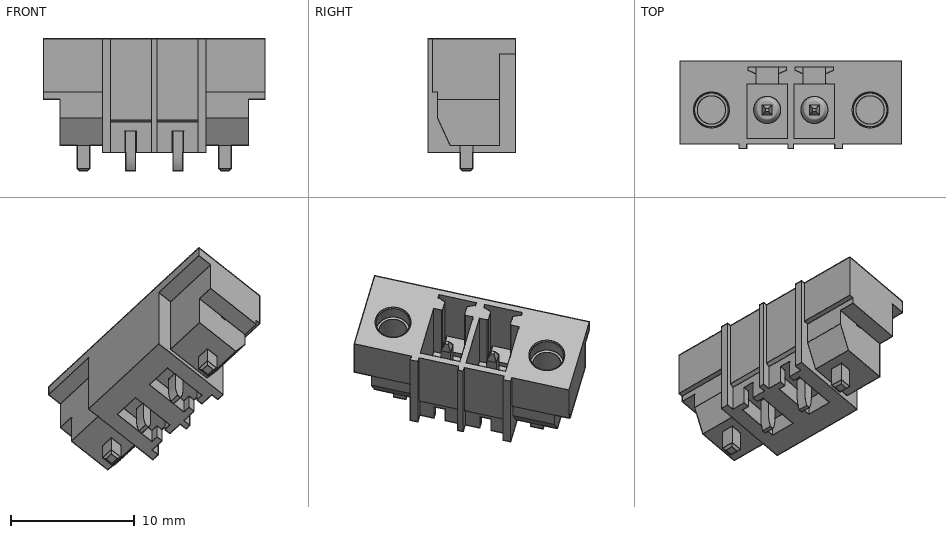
import cadquery as cq
import math


LENGTH = 17.91
HEIGHT = 9.22
FRONT_Y = -2.75
BACK_Y = 3.95
CENTRE_HALF = 4.19

WING_HALF = 7.63
WING_FRONT_Y = -2.35
WING_BACK_Y = 2.67
WING_BOTTOM_Z = 0.59
WING_SLOPE_TOP_Z = 2.81
WING_SLOPE_BOTTOM_Y = -1.33
END_BOTTOM_Z = 4.32
FRONT_STEP_Z = 4.9
BACK_SHELF_Z = 7.99

PANEL_Y = -2.45
PANEL_TOP_Z = 2.47
LEDGE_HEIGHT = 0.18

RIB_FRONT_Y = -3.12
CENTRE_RIB_HALF = 0.23
END_RIB_INNER = 3.55

CONTACT_PITCH = 3.81
CHAMBER_WIDTH = 3.3
CHAMBER_FRONT_Y = -2.3
CHAMBER_BACK_Y = 2.1
FLOOR_Z = 2.65
NECK_HALF = 0.91
NECK_FLOOR_Z = FLOOR_Z + 0.54
NECK_CHAMFER = 0.09
TAIL_HALF = 1.55
TAIL_BACK_Y = 3.47
TAIL_TIP_Y = 3.2
TAIL_NECK_Y = 2.92

COLLAR_BASE_RADIUS = 1.1
COLLAR_SHOULDER_RADIUS = 0.88
COLLAR_TOP_RADIUS = 0.72
COLLAR_CONE_HEIGHT = 0.35
COLLAR_ROUND_HEIGHT = 0.1

POCKET_HALF_WIDTH = 1.07
POCKET_HALF_DEPTH = 1.9
POCKET_HEIGHT = 1.74
SLOT_WIDTH = 0.93

SCREW_X = 6.41
SCREW_RADIUS = 1.36
SCREW_CHAMFER = 0.09
SCREW_DEPTH = 1.36
SCREW_CORE_RADIUS = 1.15
SCREW_CORE_BOTTOM_Z = END_BOTTOM_Z

CONTACT_WIDTH = 0.8
CONTACT_TIP_WIDTH = 0.27
CONTACT_TOP_Z = 7.88
CONTACT_TAPER = 0.75
TAIL_END_Z = -1.47
TAIL_ARC_START_Z = -0.38
TAIL_ARC_ANGLE = math.radians(25)

POST_X = 1.5 * CONTACT_PITCH
POST_WIDTH = 1.04
POST_CHAMFER = 0.2

CONTACT_XS = [-CONTACT_PITCH / 2, CONTACT_PITCH / 2]


def block(x0, x1, y0, y1, z0, z1):
    """Box between the given limits."""
    return cq.Workplane("XY").box(x1 - x0, y1 - y0, z1 - z0, centered=False).translate((x0, y0, z0))


def side_profile(points, half_length):
    """Profile in Y and Z, extruded along X to both sides of the middle."""
    return cq.Workplane("YZ").polyline(points).close().extrude(half_length, both=True)


def centre_block():
    return side_profile(
        [
            (BACK_Y, 0),
            (PANEL_Y, 0),
            (PANEL_Y, PANEL_TOP_Z),
            (FRONT_Y, PANEL_TOP_Z + LEDGE_HEIGHT),
            (FRONT_Y, HEIGHT),
            (BACK_Y, HEIGHT),
        ],
        CENTRE_HALF,
    )


def overhanging_ends():
    return side_profile(
        [
            (WING_FRONT_Y, END_BOTTOM_Z),
            (WING_FRONT_Y, FRONT_STEP_Z),
            (FRONT_Y, FRONT_STEP_Z),
            (FRONT_Y, HEIGHT),
            (BACK_Y, HEIGHT),
            (BACK_Y, BACK_SHELF_Z),
            (WING_BACK_Y, BACK_SHELF_Z),
            (WING_BACK_Y, END_BOTTOM_Z),
        ],
        LENGTH / 2,
    )


def wings():
    return side_profile(
        [
            (WING_BACK_Y, WING_BOTTOM_Z),
            (WING_SLOPE_BOTTOM_Y, WING_BOTTOM_Z),
            (WING_FRONT_Y, WING_SLOPE_TOP_Z),
            (WING_FRONT_Y, END_BOTTOM_Z),
            (WING_BACK_Y, END_BOTTOM_Z),
        ],
        WING_HALF,
    )


def front_ribs():
    spans = [
        (-CENTRE_HALF, -END_RIB_INNER),
        (-CENTRE_RIB_HALF, CENTRE_RIB_HALF),
        (END_RIB_INNER, CENTRE_HALF),
    ]
    ribs = cq.Workplane("XY")
    for x0, x1 in spans:
        ribs = ribs.union(block(x0, x1, RIB_FRONT_Y, PANEL_Y, 0, HEIGHT))
    return ribs


def chamber(x):
    """Plug chamber with a dovetail groove opening into its back wall."""
    half = CHAMBER_WIDTH / 2
    right_side = [
        (half, CHAMBER_FRONT_Y),
        (half, CHAMBER_BACK_Y),
        (NECK_HALF + NECK_CHAMFER, CHAMBER_BACK_Y),
        (NECK_HALF, CHAMBER_BACK_Y + NECK_CHAMFER),
        (NECK_HALF, TAIL_NECK_Y),
        (TAIL_HALF, TAIL_TIP_Y),
        (TAIL_HALF, TAIL_BACK_Y),
    ]
    left_side = [(-px, py) for px, py in reversed(right_side)]
    outline = cq.Workplane("XY").polyline(right_side + left_side).close()
    space = outline.extrude(HEIGHT - FLOOR_Z).translate((0, 0, FLOOR_Z))
    neck_step = block(-NECK_HALF, NECK_HALF, CHAMBER_BACK_Y, TAIL_BACK_Y, FLOOR_Z, NECK_FLOOR_Z)
    return space.cut(neck_step).translate((x, 0, 0))


def collar(x):
    """Steep cone with a rounded top edge, standing on the chamber floor."""
    cone_top_z = FLOOR_Z + COLLAR_CONE_HEIGHT
    top_z = cone_top_z + COLLAR_ROUND_HEIGHT
    profile = (
        cq.Workplane("XZ")
        .moveTo(0, FLOOR_Z)
        .lineTo(COLLAR_BASE_RADIUS, FLOOR_Z)
        .lineTo(COLLAR_SHOULDER_RADIUS, cone_top_z)
        .spline(
            [(COLLAR_TOP_RADIUS, top_z)],
            tangents=[
                (COLLAR_SHOULDER_RADIUS - COLLAR_BASE_RADIUS, COLLAR_CONE_HEIGHT),
                (-1, 0),
            ],
            includeCurrent=True,
        )
        .lineTo(0, top_z)
        .close()
    )
    return profile.revolve(360, (0, 0, 0), (0, 1, 0)).translate((x, 0, 0))


def solder_pocket(x):
    """Pocket open at the bottom, with a slot through the front panel."""
    pocket = block(
        x - POCKET_HALF_WIDTH,
        x + POCKET_HALF_WIDTH,
        -POCKET_HALF_DEPTH,
        POCKET_HALF_DEPTH,
        0,
        POCKET_HEIGHT,
    )
    slot = block(x - SLOT_WIDTH / 2, x + SLOT_WIDTH / 2, PANEL_Y, 0, 0, POCKET_HEIGHT)
    return pocket.union(slot)


def contact_hole(x):
    half = CONTACT_WIDTH / 2
    return block(x - half, x + half, -half, half, 0, HEIGHT)


def screw_hole(x):
    """Stepped blind hole with a chamfered mouth."""
    step_z = HEIGHT - SCREW_DEPTH
    profile = (
        cq.Workplane("XZ")
        .polyline(
            [
                (0, SCREW_CORE_BOTTOM_Z),
                (SCREW_CORE_RADIUS, SCREW_CORE_BOTTOM_Z),
                (SCREW_CORE_RADIUS, step_z),
                (SCREW_RADIUS, step_z),
                (SCREW_RADIUS, HEIGHT - SCREW_CHAMFER),
                (SCREW_RADIUS + SCREW_CHAMFER, HEIGHT),
                (0, HEIGHT),
            ]
        )
        .close()
    )
    return profile.revolve(360, (0, 0, 0), (0, 1, 0)).translate((x, 0, 0))


def make_housing():
    body = centre_block().union(overhanging_ends()).union(wings()).union(front_ribs())
    for x in CONTACT_XS:
        body = body.cut(chamber(x))
        body = body.union(collar(x))
        body = body.cut(solder_pocket(x))
        body = body.cut(contact_hole(x))
    for x in (-SCREW_X, SCREW_X):
        body = body.cut(screw_hole(x))
    return body


def make_contact(x):
    """Square pin with a tapered top and a tail rounded towards its end at front and back."""
    half = CONTACT_WIDTH / 2
    taper_z = CONTACT_TOP_Z - CONTACT_TAPER
    arc_radius = (TAIL_ARC_START_Z - TAIL_END_Z) / math.sin(TAIL_ARC_ANGLE)
    end_half = half - arc_radius * (1 - math.cos(TAIL_ARC_ANGLE))
    middle_half = half - arc_radius * (1 - math.cos(TAIL_ARC_ANGLE / 2))
    middle_z = TAIL_ARC_START_Z - arc_radius * math.sin(TAIL_ARC_ANGLE / 2)
    shaft = (
        cq.Workplane("YZ")
        .moveTo(-half, taper_z)
        .lineTo(-half, TAIL_ARC_START_Z)
        .threePointArc((-middle_half, middle_z), (-end_half, TAIL_END_Z))
        .lineTo(end_half, TAIL_END_Z)
        .threePointArc((middle_half, middle_z), (half, TAIL_ARC_START_Z))
        .lineTo(half, taper_z)
        .close()
        .extrude(half, both=True)
    )
    tip = (
        cq.Workplane("XY")
        .workplane(offset=taper_z)
        .rect(CONTACT_WIDTH, CONTACT_WIDTH)
        .workplane(offset=CONTACT_TAPER)
        .rect(CONTACT_TIP_WIDTH, CONTACT_TIP_WIDTH)
        .loft(ruled=True)
    )
    return shaft.union(tip).translate((x, 0, 0))


def make_end_post(x):
    """Square post below a wing, chamfered around its lower end."""
    half = POST_WIDTH / 2
    post = block(x - half, x + half, -half, half, TAIL_END_Z, WING_BOTTOM_Z)
    return post.faces("<Z").chamfer(POST_CHAMFER)


housing = make_housing()
contacts = [make_contact(x).val() for x in CONTACT_XS]
end_posts = [make_end_post(x).val() for x in (-POST_X, POST_X)]

result = cq.Compound.makeCompound([housing.val(), *contacts, *end_posts])